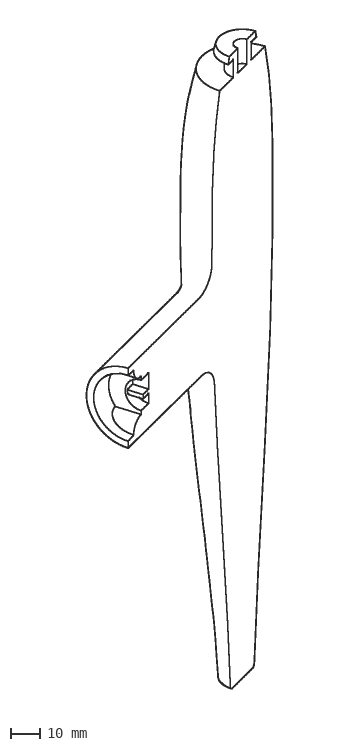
import cadquery as cq

grip_height = 249.4
belly_radius = 21.3
belly_height = 194.5
waist_radius = 19.5
waist_height = 131.5
shoulder_radius = 18.2
shoulder_height = 238.7
bottom_radius = 8.3
top_radius = 15.8
tip_chamfer = 0.8

overall_depth = 101.0
stem_height = 156.5
stem_radius = 16.3
stem_end = belly_radius - overall_depth
root_blend = 9.0

socket_mouth_radius = 13.5
socket_floor_radius = 12.7
socket_depth = 9.0
lip_radius = 5.2
lip_offset = 13.0
inner_bore_radius = 6.2
inner_bore_depth = 5.2
crossbar_thickness = 1.8
crossbar_drop = 1.3
crossbar_recess = 1.3

overall_height = 259.5
stud_radius = 6.2
flange_top_radius = 9.0
flange_bottom_radius = 9.9
flange_thickness = 2.9
stud_hole_radius = 3.0


def make_grip():
    """Barrel of revolution with a smoothly bulging side."""
    return (
        cq.Workplane("XZ")
        .lineTo(bottom_radius, 0)
        .spline(
            [
                (waist_radius, waist_height),
                (belly_radius, belly_height),
                (shoulder_radius, shoulder_height),
                (top_radius, grip_height),
            ],
            includeCurrent=True,
        )
        .lineTo(0, grip_height)
        .close()
        .revolve(360, (0, 0, 0), (0, 1, 0))
        .faces("<Z")
        .chamfer(tip_chamfer)
    )


def stem_rod(radius, start, length):
    """Cylinder on the stem axis, running from Y = start towards +Y."""
    return (
        cq.Workplane("XZ", origin=(0, start, stem_height))
        .circle(radius)
        .extrude(-length)
    )


def make_grip_with_stem():
    """Grip and stem joined by a rounded root."""
    joined = make_grip().union(stem_rod(stem_radius, stem_end, -stem_end))
    root = cq.selectors.BoxSelector(
        (-stem_radius, -belly_radius, stem_height - stem_radius),
        (stem_radius, -bottom_radius, stem_height + stem_radius),
    )
    return joined.edges(root).fillet(root_blend)


def make_socket():
    """Tapered recess narrowed by rounded lips above and below, with a barred smaller bore behind it."""
    floor = stem_end + socket_depth
    recess = (
        cq.Workplane("XY")
        .moveTo(0, stem_end)
        .lineTo(-socket_mouth_radius, stem_end)
        .lineTo(-socket_floor_radius, floor)
        .lineTo(0, floor)
        .close()
        .revolve(360, (0, 0, 0), (0, 1, 0))
        .translate((0, 0, stem_height))
    )
    for side in (-1, 1):
        lip = (
            cq.Workplane("YZ", origin=(0, floor, stem_height + side * lip_offset))
            .circle(lip_radius)
            .extrude(socket_mouth_radius, both=True)
        )
        recess = recess.cut(lip)
    crossbar = cq.Workplane("XY").box(
        2 * inner_bore_radius,
        inner_bore_depth - crossbar_recess,
        crossbar_thickness,
        centered=(True, False, True),
    ).translate((0, floor + crossbar_recess, stem_height - crossbar_drop))
    inner_bore = stem_rod(inner_bore_radius, floor, inner_bore_depth).cut(crossbar)
    return recess.union(inner_bore)


def make_stud():
    """Neck under a tapered flange, with a hole down its middle."""
    neck_height = overall_height - grip_height
    neck = cq.Workplane("XY").workplane(offset=grip_height).circle(stud_radius).extrude(neck_height)
    flange = cq.Workplane(
        cq.Solid.makeCone(
            flange_bottom_radius,
            flange_top_radius,
            flange_thickness,
            pnt=cq.Vector(0, 0, overall_height - flange_thickness),
        )
    )
    hole = (
        cq.Workplane("XY")
        .workplane(offset=overall_height)
        .circle(stud_hole_radius)
        .extrude(-neck_height)
    )
    return neck.union(flange).cut(hole)


whole_handle = make_grip_with_stem().cut(make_socket()).union(make_stud())

kept_half = cq.Workplane("XY").box(
    2 * overall_depth, 2 * overall_depth, overall_height, centered=(False, True, False)
).translate((-2 * overall_depth, 0, 0))
result = whole_handle.intersect(kept_half)